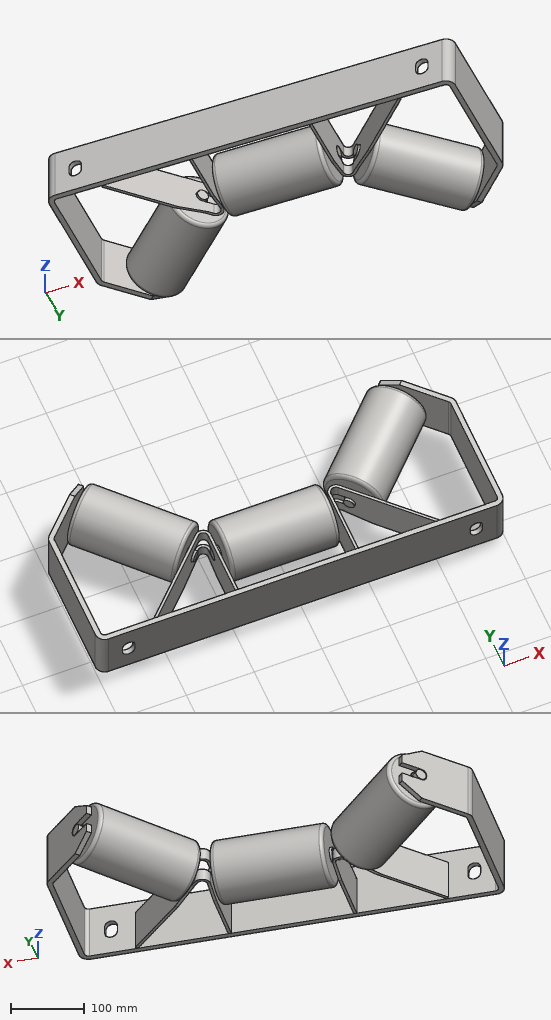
import cadquery as cq
import math

FRAME_WIDTH = 600.0
FRAME_HEIGHT = 80.0
FRAME_DEPTH = 261.0
FRAME_THICKNESS = 8.0
FRAME_BEND_RADIUS = 14.0
ARM_FACE_OFFSET = 342.0
ARM_CHAMFER_LENGTH = 31.0
ARM_CHAMFER_HEIGHT = 18.0
MOUNT_SLOT_SPACING = 512.5
MOUNT_SLOT_WIDTH = 18.0
MOUNT_SLOT_HEIGHT = 27.0

BRACKET_THICKNESS = 4.0
BRACKET_TOP = 59.0
BRACKET_NOSE_BOTTOM = 6.5
BRACKET_TAPER_LENGTH = 32.0
BRACKET_BEND_RADIUS = 11.5
BRACKET_SPAN = 173.0
BRACKET_FACE_OFFSET = 164.0

ROLLER_DIAMETER = 89.0
ROLLER_LENGTH = 160.0
ROLLER_EDGE_RADIUS = 5.5
COLLAR_DIAMETER = 20.5
COLLAR_LENGTH = 3.5
SHAFT_DIAMETER = 16.0
SIDE_SHAFT_LENGTH = 185.5
CENTER_ROLLER_Y = 103.0
SIDE_ROLLER_OFFSET = 249.0
SIDE_ROLLER_SHIFT = -3.0

SHAFT_SLOT_WIDTH = 17.5

ROOT2 = math.sqrt(2)
BEND_TANGENT = math.tan(math.radians(67.5))
FRAME_MIDDLE_Z = FRAME_HEIGHT / 2
BRACKET_MIDDLE_Z = (BRACKET_TOP + BRACKET_NOSE_BOTTOM) / 2
LEG_X = -BRACKET_SPAN / 2
BRACKET_FAR_OFFSET = BRACKET_FACE_OFFSET - BRACKET_THICKNESS
ARM_INNER_OFFSET = ARM_FACE_OFFSET - FRAME_THICKNESS
ARM_TIP_ALONG = ROOT2 * FRAME_DEPTH - ARM_FACE_OFFSET
ARM_TO_BRACKET = (ARM_INNER_OFFSET + ARM_FACE_OFFSET - BRACKET_FACE_OFFSET - BRACKET_FAR_OFFSET) / 2
SIDE_SLOPE = (FRAME_MIDDLE_Z - BRACKET_MIDDLE_Z) / ARM_TO_BRACKET
SIDE_TILT = math.degrees(math.atan(SIDE_SLOPE))
CUT_MARGIN = 6.0


def left_point(offset, along):
    """XY of a point on the left side: offset out along (-1, 1), along the arm on (1, 1)."""
    return ((along - offset) / ROOT2, (along + offset) / ROOT2)


def mirrored(shape):
    """Copy of a left-hand shape on the right."""
    return shape.mirror("YZ")


def shaft_slot(inner_offset, outer_offset, closed_end, open_end, middle_z):
    """Cutter through a 45 degree sheet on the left, with a round closed end."""
    origin = left_point(inner_offset - CUT_MARGIN, 0)
    plane = cq.Plane((*origin, middle_z), xDir=(1, 1, 0), normal=(-1, 1, 0))
    return round_ended_slot(plane, closed_end, open_end, outer_offset - inner_offset + 2 * CUT_MARGIN)


def round_ended_slot(plane, closed_end, open_end, depth):
    """Shaft slot along the local x axis of a plane, round at closed_end and square at open_end."""
    radius = SHAFT_SLOT_WIDTH / 2
    return (
        cq.Workplane(plane)
        .moveTo(open_end, radius)
        .lineTo(closed_end + radius, radius)
        .threePointArc((closed_end, 0), (closed_end + radius, -radius))
        .lineTo(open_end, -radius)
        .close()
        .extrude(depth)
    )


def strip_outline(half_width, wall_y, arm_offset):
    """Left half of one side of the frame strip, from its middle to the arm tip."""
    return [
        (0, wall_y),
        (-half_width, wall_y),
        (-half_width, ROOT2 * arm_offset - half_width),
        left_point(arm_offset, ARM_TIP_ALONG),
    ]


def arm_chamfers():
    """Cutters for the two sloping corners at the tip of the left arm."""
    plane = cq.Plane((*left_point(ARM_INNER_OFFSET - CUT_MARGIN, ARM_TIP_ALONG), FRAME_MIDDLE_Z),
                     xDir=(1, 1, 0), normal=(-1, 1, 0))
    half = FRAME_HEIGHT / 2
    cutter = (
        cq.Workplane(plane)
        .polyline([(0, half), (-ARM_CHAMFER_LENGTH, half), (0, half - ARM_CHAMFER_HEIGHT)])
        .close()
        .extrude(FRAME_THICKNESS + 2 * CUT_MARGIN)
    )
    return cutter.union(cutter.mirror("XY", (0, 0, FRAME_MIDDLE_Z)))


def round_upright_edges(body, points, radius, height):
    """Fillet the vertical edges that stand at the given XY points."""
    for x, y in points:
        edge = cq.selectors.NearestToPointSelector((x, y, height / 2))
        body = body.edges("|Z").edges(edge).fillet(radius)
    return body


def make_frame():
    outer = strip_outline(FRAME_WIDTH / 2, 0, ARM_FACE_OFFSET)
    inner = strip_outline(FRAME_WIDTH / 2 - FRAME_THICKNESS, FRAME_THICKNESS, ARM_INNER_OFFSET)
    half = cq.Workplane("XY").polyline(outer + inner[::-1]).close().extrude(FRAME_HEIGHT)
    half = round_upright_edges(half, outer[1:3], FRAME_BEND_RADIUS, FRAME_HEIGHT)
    half = round_upright_edges(half, inner[1:3], FRAME_BEND_RADIUS - FRAME_THICKNESS, FRAME_HEIGHT)

    half = half.cut(arm_chamfers())
    half = half.cut(shaft_slot(ARM_INNER_OFFSET, ARM_FACE_OFFSET, SIDE_ROLLER_SHIFT - SHAFT_SLOT_WIDTH / 2,
                               ARM_TIP_ALONG + CUT_MARGIN, FRAME_MIDDLE_Z))
    mount_slot = (
        cq.Workplane("XZ", origin=(-MOUNT_SLOT_SPACING / 2, 0, FRAME_MIDDLE_Z))
        .slot2D(MOUNT_SLOT_HEIGHT, MOUNT_SLOT_WIDTH, 90)
        .extrude(-FRAME_THICKNESS)
    )
    half = half.cut(mount_slot)
    return half.union(mirrored(half)).clean()


def make_left_bracket():
    far_x = LEG_X - BRACKET_THICKNESS
    outer_corner = (LEG_X, LEG_X + ROOT2 * BRACKET_FACE_OFFSET)
    inner_corner = (far_x, far_x + ROOT2 * BRACKET_FAR_OFFSET)
    foot_along = ROOT2 * FRAME_THICKNESS - BRACKET_FAR_OFFSET
    outline = [
        (LEG_X, FRAME_THICKNESS),
        outer_corner,
        left_point(BRACKET_FACE_OFFSET, foot_along),
        left_point(BRACKET_FAR_OFFSET, foot_along),
        inner_corner,
        (far_x, FRAME_THICKNESS),
    ]
    bracket = cq.Workplane("XY").polyline(outline).close().extrude(BRACKET_TOP)
    bracket = round_upright_edges(bracket, [outer_corner], BRACKET_BEND_RADIUS, BRACKET_TOP)
    bracket = round_upright_edges(bracket, [inner_corner], BRACKET_BEND_RADIUS - BRACKET_THICKNESS,
                                  BRACKET_TOP)

    bend_y = outer_corner[1] - BRACKET_BEND_RADIUS * BEND_TANGENT
    past_bend = outer_corner[1]
    taper = (
        cq.Workplane("YZ", origin=(-FRAME_WIDTH / 2, 0, 0))
        .polyline([
            (bend_y - BRACKET_TAPER_LENGTH, 0),
            (bend_y, BRACKET_NOSE_BOTTOM),
            (past_bend, BRACKET_NOSE_BOTTOM),
            (past_bend, 0),
        ])
        .close()
        .extrude(FRAME_WIDTH / 2)
    )
    bracket = bracket.cut(taper)
    return bracket.cut(bracket_slot(far_x, past_bend, bend_y))


def bracket_slot(far_x, past_bend, bend_y):
    """Slot that runs down the straight leg, around the bend and down the 45 degree leg."""
    straight_plane = cq.Plane((far_x - CUT_MARGIN, 0, BRACKET_MIDDLE_Z), xDir=(0, 1, 0), normal=(1, 0, 0))
    straight = round_ended_slot(straight_plane, CENTER_ROLLER_Y - SHAFT_SLOT_WIDTH / 2,
                                past_bend, BRACKET_THICKNESS + 2 * CUT_MARGIN)
    sloped = shaft_slot(BRACKET_FAR_OFFSET, BRACKET_FACE_OFFSET, SIDE_ROLLER_SHIFT - SHAFT_SLOT_WIDTH / 2,
                        past_bend, BRACKET_MIDDLE_Z)
    bend = cq.Workplane("XY", origin=(LEG_X, bend_y, BRACKET_MIDDLE_Z)).box(
        4 * BRACKET_BEND_RADIUS, past_bend - bend_y, SHAFT_SLOT_WIDTH, centered=(True, False, True))
    return straight.union(sloped).union(bend)


def make_roller(shaft_length):
    """Roller along X, centred on the origin, with a collar and a shaft stub at each end."""
    def cylinder(diameter, length):
        end_plane = cq.Plane((-length / 2, 0, 0), xDir=(0, 0, 1), normal=(1, 0, 0))
        return cq.Workplane(end_plane).circle(diameter / 2).extrude(length)

    drum = cylinder(ROLLER_DIAMETER, ROLLER_LENGTH).edges().fillet(ROLLER_EDGE_RADIUS)
    collars = cylinder(COLLAR_DIAMETER, ROLLER_LENGTH + 2 * COLLAR_LENGTH)
    return drum.union(collars).union(cylinder(SHAFT_DIAMETER, shaft_length))


def make_left_roller():
    """Side roller: turned 45 degrees and tilted up towards the frame arm."""
    roller = make_roller(SIDE_SHAFT_LENGTH)
    arm_middle_offset = (ARM_INNER_OFFSET + ARM_FACE_OFFSET) / 2
    middle_z = FRAME_MIDDLE_Z - SIDE_SLOPE * (arm_middle_offset - SIDE_ROLLER_OFFSET)
    middle = (*left_point(SIDE_ROLLER_OFFSET, SIDE_ROLLER_SHIFT), middle_z)
    return (
        roller.rotate((0, 0, 0), (0, 1, 0), SIDE_TILT)
        .rotate((0, 0, 0), (0, 0, 1), -45)
        .translate(middle)
    )


frame = make_frame()
left_bracket = make_left_bracket()

center_shaft_length = BRACKET_SPAN + 2 * BRACKET_THICKNESS
center_roller = make_roller(center_shaft_length).translate((0, CENTER_ROLLER_Y, BRACKET_MIDDLE_Z))
left_roller = make_left_roller()

brackets = [left_bracket, mirrored(left_bracket)]
rollers = [left_roller, center_roller, mirrored(left_roller)]

result = cq.Compound.makeCompound([body.solids().val() for body in [frame, *brackets, *rollers]])